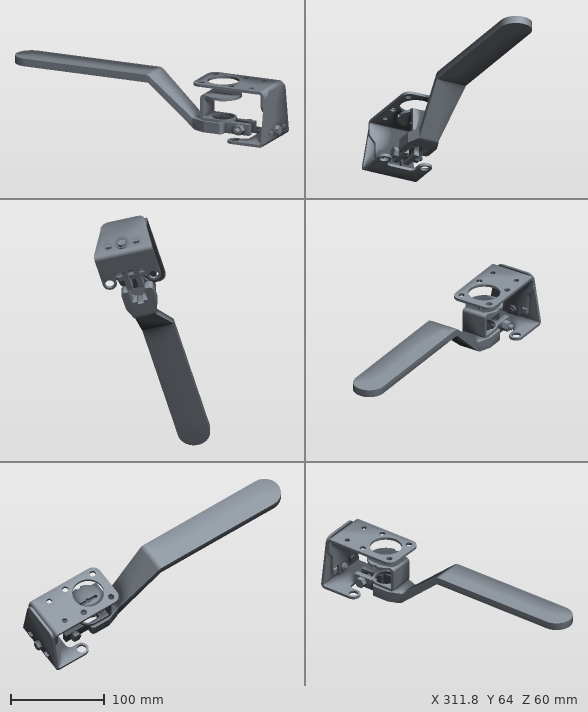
import cadquery as cq


sheet = 3.0
total_length = 311.8
total_height = 60.0
shaft_x = 244.8

lever_half_width = 17.5
grip_thickness = 8.5
grip_end_x = 163.7
taper_start_x = 165.0
neck_x = 214.0
neck_half_width = 11.5
grip_bend_radius = 7.5
foot_bend_radius = 5.5
bend_shift = 2.0
head_bottom_z = 4.5
head_top_z = 16.5
head_wide_x = 229.5
head_end_x = 251.0
head_corner_radius = 3.7
arm_half_width = 9.5
arm_end_x = 279.7
clamp_slot_half_width = 3.5
clamp_slot_start_x = 232.5
shaft_square = 17.5

screw_x = 269.0
screw_z = 10.5
screw_radius = 3.0
screw_end_y = 20.5
screw_chamfer = 1.2
screw_hex_across_corners = 11.5
screw_nut_height = 7.0
screw_head_height = 5.5

clip_x = 224.2
clip_top_z = 45.0
clip_half_width = 14.3
clip_disc_radius = 20.0
clip_bottom_hole_radius = 12.2
clip_bend_radius = 3.5
clip_slot_length = 23.5
clip_slot_width = 3.5
clip_centre_hole_radius = 2.8
clip_notch_width = 5.0
clip_notch_depth = 2.0

bend_outer_radius = 4.7
bend_inner_radius = bend_outer_radius - sheet
lower_outer_x = 307.0
upper_outer_x = lower_outer_x - sheet
upper_inner_x = upper_outer_x - sheet

upper_start_x = 218.3
upper_half_width = 25.5
upper_corner_radius = 9.5
upper_opening_radius = 17.0
mount_hole_pitch = 35.2
mount_hole_radius = 3.5
rear_hole_x = 285.0
rear_hole_y = 15.0
rear_hole_radius = 2.95

tongue_half_width = 18.5
tongue_bottom_z = 4.7
tongue_round = 2.0
shoulder_top_z = 41.8
shoulder_bottom_z = 34.3
shoulder_fillet = 4.7
slit_inner_y = 8.5
slit_outer_y = 12.2
slit_top_z = 19.3

tab_bottom_z = 11.2
tab_end_x = 310.0
heel_depth = 1.2
heel_top_z = 17.0
tab_width = tongue_half_width - slit_outer_y
tab_middle_y = (tongue_half_width + slit_outer_y) / 2

lower_half_width = 64.0 / 2
lower_top_z = 59.2
lower_top_half_width = 22.8
lower_taper_z = 4.7
lower_top_corner_radius = 7.8
ear_x = 269.7
ear_radius = 7.5
ear_hole_radius = 5.0
ear_inner_y = lower_half_width - 2 * ear_radius
recess_x = 281.5
recess_corner_radius = 6.0

stud_z = 12.2
stud_radius = 2.8
stud_start_x = 296.0
collar_start_x = 297.8
collar_radius = 4.7
washer_radius = 5.5
washer_thickness = 1.2
stud_hex_across_corners = 10.3


def box(x_range, y_range, z_range):
    """Box between two limits along each axis."""
    size = [high - low for low, high in (x_range, y_range, z_range)]
    corner = (x_range[0], y_range[0], z_range[0])
    return cq.Workplane("XY").box(*size, centered=False).translate(corner)


def upright(x, y, radius):
    """Vertical cylinder through the whole height."""
    return cq.Workplane("XY").center(x, y).circle(radius).extrude(total_height)


def rod_x(start_x, end_x, radius):
    """Cylinder along X on the stud axis."""
    return cq.Workplane("YZ", origin=(start_x, 0, stud_z)).circle(radius).extrude(end_x - start_x)


def make_clamp_screw():
    """Clamp screw across the lever arms with its nut at -Y and its head at +Y."""
    shank_length = screw_end_y + arm_half_width
    shank = (
        cq.Workplane("XZ", origin=(screw_x, -screw_end_y, screw_z))
        .circle(screw_radius)
        .extrude(-shank_length)
        .faces("<Y")
        .chamfer(screw_chamfer)
    )
    nut = (
        cq.Workplane("XZ", origin=(screw_x, -arm_half_width, screw_z))
        .polygon(6, screw_hex_across_corners)
        .extrude(screw_nut_height)
    )
    head = (
        cq.Workplane("XZ", origin=(screw_x, arm_half_width, screw_z))
        .polygon(6, screw_hex_across_corners)
        .extrude(-screw_head_height)
    )
    return shank.union(nut).union(head)


def make_lever():
    """Cranked lever with a slotted clamp head, together with its clamp screw."""
    grip_bottom_z = total_height - grip_thickness
    side = (
        cq.Workplane("XZ", origin=(0, lever_half_width, 0))
        .moveTo(0, total_height)
        .lineTo(grip_end_x, total_height)
        .lineTo(neck_x, head_top_z)
        .lineTo(arm_end_x, head_top_z)
        .lineTo(arm_end_x, head_bottom_z)
        .lineTo(neck_x + bend_shift, head_bottom_z)
        .lineTo(grip_end_x, grip_bottom_z)
        .lineTo(0, grip_bottom_z)
        .close()
        .extrude(2 * lever_half_width)
    )
    bend_radii = {
        (grip_end_x, total_height): grip_bend_radius,
        (neck_x, head_top_z): foot_bend_radius,
        (neck_x + bend_shift, head_bottom_z): foot_bend_radius,
    }
    for (x, z), radius in bend_radii.items():
        bend = cq.selectors.NearestToPointSelector((x, 0, z))
        side = side.edges("|Y").edges(bend).fillet(radius)
    plan = (
        cq.Workplane("XY")
        .moveTo(lever_half_width, -lever_half_width)
        .lineTo(taper_start_x, -lever_half_width)
        .lineTo(neck_x, -neck_half_width)
        .lineTo(head_wide_x, -lever_half_width)
        .lineTo(head_end_x, -lever_half_width)
        .lineTo(head_end_x, -arm_half_width)
        .lineTo(arm_end_x, -arm_half_width)
        .lineTo(arm_end_x, arm_half_width)
        .lineTo(head_end_x, arm_half_width)
        .lineTo(head_end_x, lever_half_width)
        .lineTo(head_wide_x, lever_half_width)
        .lineTo(neck_x, neck_half_width)
        .lineTo(taper_start_x, lever_half_width)
        .lineTo(lever_half_width, lever_half_width)
        .threePointArc((0, 0), (lever_half_width, -lever_half_width))
        .close()
        .extrude(total_height)
    )
    for y in (-lever_half_width, lever_half_width):
        corner = cq.selectors.NearestToPointSelector((head_end_x, y, total_height / 2))
        plan = plan.edges("|Z").edges(corner).fillet(head_corner_radius)
    shaft_hole = cq.Workplane("XY").center(shaft_x, 0).rect(shaft_square, shaft_square)
    slot = box(
        (clamp_slot_start_x, arm_end_x),
        (-clamp_slot_half_width, clamp_slot_half_width),
        (0, head_top_z),
    )
    return side.intersect(plan).cut(shaft_hole.extrude(total_height)).cut(slot).union(make_clamp_screw())


def make_clip():
    """U-shaped clip on top of the lever: notched disc above, ring below."""
    clip_height = clip_top_z - head_top_z
    reach = clip_disc_radius + shaft_x - clip_x
    outer = (
        box((clip_x, clip_x + reach), (-clip_disc_radius, clip_disc_radius), (head_top_z, clip_top_z))
        .edges("|Y and <X")
        .fillet(clip_bend_radius)
    )
    inner = (
        box(
            (clip_x + sheet, clip_x + reach),
            (-clip_disc_radius, clip_disc_radius),
            (head_top_z + sheet, clip_top_z - sheet),
        )
        .edges("|Y and <X")
        .fillet(clip_bend_radius - sheet)
    )
    strip = box((clip_x, shaft_x), (-clip_half_width, clip_half_width), (0, total_height))
    middle_z = head_top_z + clip_height / 2
    upper_zone = box((0, total_length), (-clip_disc_radius, clip_disc_radius), (middle_z, total_height))
    disc = upright(shaft_x, 0, clip_disc_radius).intersect(upper_zone)
    plan = strip.union(upright(shaft_x, 0, clip_half_width)).union(disc)
    clip = outer.cut(inner).intersect(plan)

    key_slot = cq.Workplane("XY").center(shaft_x, 0).slot2D(clip_slot_length, clip_slot_width)
    clip = clip.cut(key_slot.extrude(total_height)).cut(upright(shaft_x, 0, clip_centre_hole_radius))
    clip = clip.cut(upright(shaft_x, 0, clip_bottom_hole_radius).cut(upper_zone))
    for side in (-1, 1):
        notch_y = side * clip_disc_radius
        notch = cq.Workplane("XY").center(shaft_x, notch_y).rect(clip_notch_width, 2 * clip_notch_depth)
        clip = clip.cut(notch.extrude(total_height))
    return clip


def make_tab(side):
    """Hook at the foot of one leg: a heel inside and a tab pointing toward +X."""
    tab_top_z = tab_bottom_z + sheet
    return (
        cq.Workplane("XZ", origin=(0, side * tab_middle_y + tab_width / 2, 0))
        .moveTo(tab_end_x, tab_bottom_z)
        .lineTo(tab_end_x, tab_top_z)
        .lineTo(upper_outer_x, tab_top_z)
        .lineTo(upper_outer_x, heel_top_z + heel_depth)
        .lineTo(upper_inner_x, heel_top_z + heel_depth)
        .lineTo(upper_inner_x - heel_depth, heel_top_z)
        .lineTo(upper_inner_x - heel_depth, tab_bottom_z)
        .close()
        .extrude(tab_width)
    )


def make_upper_bracket():
    """Angle bracket with the mounting plate on top and a forked tongue hanging down."""
    plate_bottom_z = total_height - sheet
    angle = box((upper_start_x, upper_outer_x), (-upper_half_width, upper_half_width), (0, total_height))
    angle = angle.edges("|Y and >X and >Z").fillet(bend_outer_radius)
    hollow = box((upper_start_x, upper_inner_x), (-upper_half_width, upper_half_width), (0, plate_bottom_z))
    angle = angle.cut(hollow.edges("|Y and >X and >Z").fillet(bend_inner_radius))
    angle = angle.edges("|Z and <X").fillet(upper_corner_radius)

    tongue = (
        cq.Workplane("YZ")
        .moveTo(-upper_half_width, total_height)
        .lineTo(-upper_half_width, shoulder_top_z)
        .lineTo(-tongue_half_width, shoulder_bottom_z)
        .lineTo(-tongue_half_width, tab_bottom_z)
        .lineTo(-slit_inner_y, tab_bottom_z)
        .lineTo(-slit_inner_y, tongue_bottom_z)
        .lineTo(slit_inner_y, tongue_bottom_z)
        .lineTo(slit_inner_y, tab_bottom_z)
        .lineTo(tongue_half_width, tab_bottom_z)
        .lineTo(tongue_half_width, shoulder_bottom_z)
        .lineTo(upper_half_width, shoulder_top_z)
        .lineTo(upper_half_width, total_height)
        .close()
        .extrude(total_length)
    )
    shoulders = cq.selectors.BoxSelector(
        (0, -total_length, shoulder_bottom_z - tongue_round),
        (total_length, total_length, shoulder_top_z + tongue_round),
    )
    tongue = tongue.edges("|X").edges(shoulders).fillet(shoulder_fillet)
    tongue = tongue.edges("|X and <Z").fillet(tongue_round)
    bracket = angle.intersect(tongue)

    for side in (-1, 1):
        slit_limits = sorted((side * slit_inner_y, side * slit_outer_y))
        bracket = bracket.cut(box((upper_inner_x, upper_outer_x), slit_limits, (0, slit_top_z)))
        bracket = bracket.union(make_tab(side))
        bracket = bracket.cut(upright(rear_hole_x, side * rear_hole_y, rear_hole_radius))
        for end in (-1, 1):
            hole_x = shaft_x + end * mount_hole_pitch / 2
            bracket = bracket.cut(upright(hole_x, side * mount_hole_pitch / 2, mount_hole_radius))
    bracket = bracket.cut(upright(shaft_x, 0, upper_opening_radius))
    return bracket.cut(rod_x(upper_inner_x, upper_outer_x, stud_radius))


def make_stud():
    """Stud through both brackets: collar inside, washer and hexagon outside."""
    washer_end_x = lower_outer_x + washer_thickness
    hexagon = (
        cq.Workplane("YZ", origin=(washer_end_x, 0, stud_z))
        .transformed(rotate=(0, 0, 90))
        .polygon(6, stud_hex_across_corners)
        .extrude(total_length - washer_end_x)
    )
    stud = rod_x(stud_start_x, lower_outer_x, stud_radius)
    stud = stud.union(rod_x(collar_start_x, upper_inner_x, collar_radius))
    stud = stud.union(rod_x(lower_outer_x, washer_end_x, washer_radius))
    return stud.union(hexagon)


def make_lower_bracket():
    """Angle bracket with two eared feet and a tapering back, together with its stud."""
    start_x = ear_x - ear_radius
    inner_x = lower_outer_x - sheet
    angle = box((start_x, lower_outer_x), (-lower_half_width, lower_half_width), (0, lower_top_z))
    angle = angle.edges("|Y and >X and <Z").fillet(bend_outer_radius)
    hollow = box((start_x, inner_x), (-lower_half_width, lower_half_width), (sheet, lower_top_z))
    angle = angle.cut(hollow.edges("|Y and >X and <Z").fillet(bend_inner_radius))

    back = (
        cq.Workplane("YZ")
        .moveTo(-lower_half_width, 0)
        .lineTo(lower_half_width, 0)
        .lineTo(lower_half_width, lower_taper_z)
        .lineTo(lower_top_half_width, lower_top_z)
        .lineTo(-lower_top_half_width, lower_top_z)
        .lineTo(-lower_half_width, lower_taper_z)
        .close()
        .extrude(total_length)
        .edges("|X and >Z")
        .fillet(lower_top_corner_radius)
    )
    recess = (
        box((0, recess_x), (-ear_inner_y, ear_inner_y), (0, sheet))
        .edges("|Z and >X")
        .fillet(recess_corner_radius)
    )
    ear_y = lower_half_width - ear_radius
    plan = box((ear_x, lower_outer_x), (-lower_half_width, lower_half_width), (0, total_height))
    for side in (-1, 1):
        plan = plan.union(upright(ear_x, side * ear_y, ear_radius))
    bracket = angle.intersect(back).intersect(plan).cut(recess)

    for side in (-1, 1):
        bracket = bracket.cut(upright(ear_x, side * ear_y, ear_hole_radius))
        bracket = bracket.cut(make_tab(side))
    return bracket.union(make_stud())


lever = make_lever()
clip = make_clip()
upper_bracket = make_upper_bracket()
lower_bracket = make_lower_bracket()

result = cq.Compound.makeCompound(
    [lever.val(), clip.val(), upper_bracket.val(), lower_bracket.val()]
)